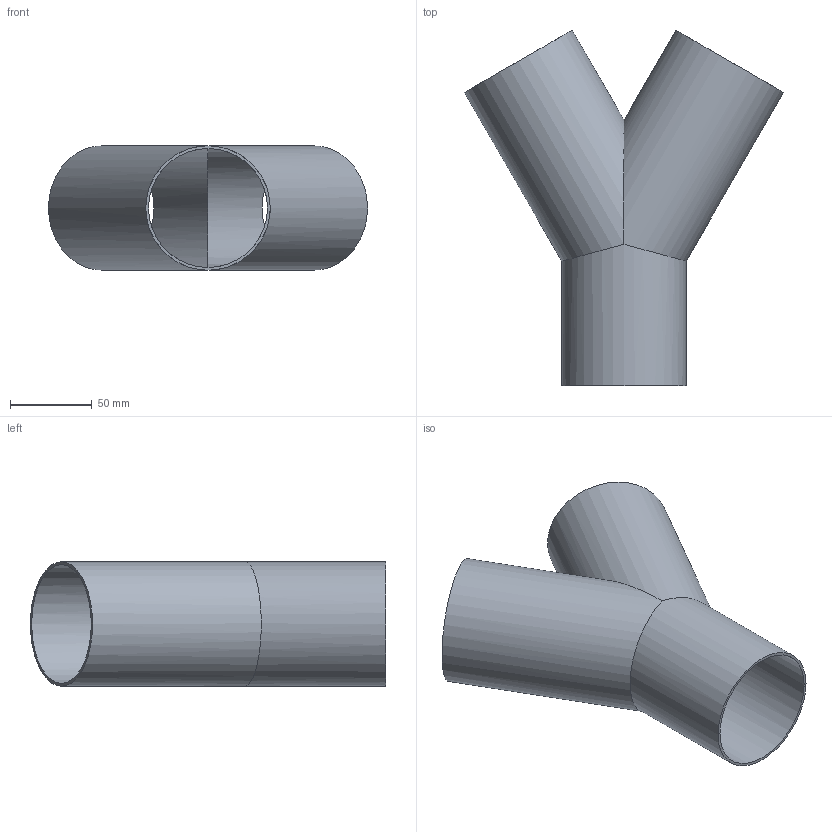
import cadquery as cq
import math

OUTER_DIAMETER = 76.2
BORE_DIAMETER = 72.9
ARM_ANGLE = 30.0
OVERALL_WIDTH = 195.48
OVERALL_LENGTH = 217.6

OUTER_RADIUS = OUTER_DIAMETER / 2
SIN_ARM = math.sin(math.radians(ARM_ANGLE))
COS_ARM = math.cos(math.radians(ARM_ANGLE))

ARM_LENGTH = (OVERALL_WIDTH / 2 - OUTER_RADIUS * COS_ARM) / SIN_ARM
ARM_TIP_Y = ARM_LENGTH * COS_ARM + OUTER_RADIUS * SIN_ARM
TRUNK_LENGTH = OVERALL_LENGTH - ARM_TIP_Y

MITRE_SLOPE = math.tan(math.radians(ARM_ANGLE / 2))
REACH = 2 * OVERALL_LENGTH


def cylinder_through_junction(diameter, direction, length):
    """Cylinder ending square at `length` along `direction`, overrunning the junction backwards."""
    start = cq.Vector(*direction) * -OVERALL_LENGTH
    solid = cq.Solid.makeCylinder(
        diameter / 2, OVERALL_LENGTH + length, start, cq.Vector(*direction)
    )
    return cq.Workplane(obj=solid)


def sector_prism(points):
    """Prism tall enough to span the pipes, bounded by rays that leave the junction."""
    return cq.Workplane("XY").polyline(points).close().extrude(OUTER_DIAMETER, both=True)


def wye_body(diameter):
    """Solid Y body: each leg is a cylinder trimmed to its own sector around the junction."""
    mitre_drop = -REACH * MITRE_SLOPE
    trunk_sector = sector_prism(
        [(0, 0), (-REACH, mitre_drop), (-REACH, -REACH), (REACH, -REACH), (REACH, mitre_drop)]
    )
    body = cylinder_through_junction(diameter, (0, -1, 0), TRUNK_LENGTH).intersect(trunk_sector)
    for side in (-1, 1):
        arm_sector = sector_prism(
            [(0, 0), (side * REACH, mitre_drop), (side * REACH, REACH), (0, REACH)]
        )
        direction = (side * SIN_ARM, COS_ARM, 0)
        arm = cylinder_through_junction(diameter, direction, ARM_LENGTH).intersect(arm_sector)
        body = body.union(arm)
    return body


result = wye_body(OUTER_DIAMETER).cut(wye_body(BORE_DIAMETER))